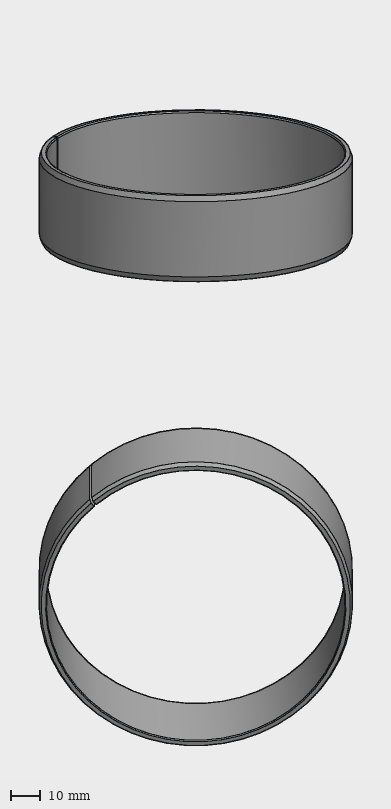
import cadquery as cq

outer_diameter = 105.0
wall_thickness = 2.5
height = 30.0
outer_chamfer_height = 1.9
outer_chamfer_width = 0.7
inner_chamfer_height = 0.5
inner_chamfer_width = 0.3
split_angle = 1.0

outer_radius = outer_diameter / 2
inner_radius = outer_radius - wall_thickness
half_height = height / 2


def wall_section():
    """Cross-section of the wall on the -X side, with all four corners bevelled."""
    outer_bevel_z = half_height - outer_chamfer_height
    inner_bevel_z = half_height - inner_chamfer_height
    rim_outer_radius = outer_radius - outer_chamfer_width
    rim_inner_radius = inner_radius + inner_chamfer_width
    return (
        cq.Workplane("XZ")
        .moveTo(-outer_radius, -outer_bevel_z)
        .lineTo(-outer_radius, outer_bevel_z)
        .lineTo(-rim_outer_radius, half_height)
        .lineTo(-rim_inner_radius, half_height)
        .lineTo(-inner_radius, inner_bevel_z)
        .lineTo(-inner_radius, -inner_bevel_z)
        .lineTo(-rim_inner_radius, -half_height)
        .lineTo(-rim_outer_radius, -half_height)
        .close()
    )


axis_start = (0, 0)
axis_end = (0, 1)
result = wall_section().revolve(360 - split_angle, axis_start, axis_end)